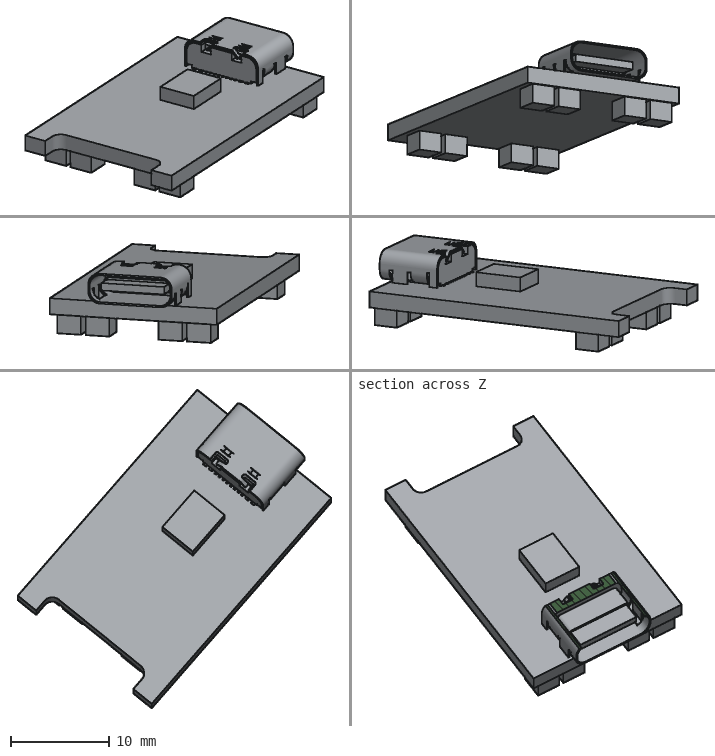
import cadquery as cq
import math


BOARD_WIDTH = 17.8
BOARD_LENGTH = 28.43
BOARD_THICKNESS = 1.68
FOOT_HEIGHT = 1.98
BOARD_TOP = FOOT_HEIGHT + BOARD_THICKNESS

PRONG_WIDTH = 2.45
NOTCH_WIDTH = BOARD_WIDTH - 2 * PRONG_WIDTH
NOTCH_DEPTH = 2.35
NOTCH_RADIUS = 1.0

FOOT_SIZE = 2.55
FOOT_PITCH = 3.05
FOOT_SIDE_MARGIN = 0.7
FOOT_FRONT_MARGIN = 2.7
FOOT_BACK_MARGIN = 0.25
OUTER_FOOT_X = BOARD_WIDTH / 2 - FOOT_SIDE_MARGIN - FOOT_SIZE / 2
FOOT_ROWS_Y = (
    FOOT_FRONT_MARGIN + FOOT_SIZE / 2,
    BOARD_LENGTH - FOOT_BACK_MARGIN - FOOT_SIZE / 2,
)

CHIP_WIDTH = 4.05
CHIP_LENGTH = 5.05
CHIP_HEIGHT = 1.48
CHIP_BACK_MARGIN = 8.68

MOUTH_OVERHANG = 1.1
MOUTH_Y = BOARD_LENGTH + MOUTH_OVERHANG
SHELL_WIDTH = 8.95
SHELL_HEIGHT = 3.13
SHELL_LENGTH = 6.55
SHELL_RADIUS = 1.27
SHEET = 0.18
SHELL_TOP = BOARD_TOP + SHELL_HEIGHT
SHELL_MID_Z = BOARD_TOP + SHELL_HEIGHT / 2

CORNER_CUT_WIDTH = 0.9
SLOT_WIDTH = 0.38
LEG_CUT_START = 1.1
LEG_LENGTH = 1.68
LEG_CUT_END = LEG_CUT_START + LEG_LENGTH + 2 * SLOT_WIDTH
REAR_SLOT_WIDTH = 0.3
REAR_SLOT_HEIGHT = 1.48
REAR_SLOT_RADIUS = 0.12
REAR_WALL_LENGTH = 0.9
REAR_CUT_START = SHELL_LENGTH - REAR_WALL_LENGTH - REAR_SLOT_WIDTH

WINDOW_INNER_X = 1.15
WINDOW_OUTER_X = 2.42
WINDOW_REAR = 1.48
WINDOW_LENGTH = 0.5
WINDOW_LIP_RADIUS = 0.3
LATCH_INNER_X = 1.03
LATCH_OUTER_X = 2.63
LATCH_LENGTH = 1.1
LATCH_RADIUS = 0.2
LIP_SETBACK = 0.12

TAB_ANGLE = 45
TAB_FLAT = 0.2
TAB_DROP = 0.7
TAB_BEND_RADIUS = 0.45
TAB_REAR = 0.15
TAB_LENGTH = 0.5

PLUG_START = 5.15
PLUG_GAP = 0.1
PLUG_TOP_RADIUS = 1.05
PLUG_NOTCH_HEIGHT = 0.3
POCKET_INNER_X = 1.27
POCKET_OUTER_X = 2.42
POCKET_LENGTH = 0.68
POCKET_BEVEL = 0.2
POCKET_FLOOR = 2.07

TONGUE_START = 0.95
TONGUE_WIDTH = 6.7
TONGUE_THICKNESS = 0.77
BASE_START = 2.83
BASE_WIDTH = 7.38
BASE_THICKNESS = 1.25

PIN_PITCH = 0.5
INNER_PIN_COUNT = 8
INNER_PIN_WIDTH = 0.2
OUTER_PIN_WIDTH = 0.4
OUTER_PIN_X = (2.42, 3.2)
PIN_LENGTH = 0.6
PIN_PROTRUSION = 0.2
PIN_HEIGHT = 0.045

SIDES = (-1, 1)


def block(x0, x1, y0, y1, z0, z1):
    """Box between two opposite corners, given in any order."""
    return (
        cq.Workplane("XY")
        .box(abs(x1 - x0), abs(y1 - y0), abs(z1 - z0))
        .translate(((x0 + x1) / 2, (y0 + y1) / 2, (z0 + z1) / 2))
    )


def section_plane(start):
    """XZ workplane at a distance behind the mouth; extruding goes rearward."""
    return cq.Workplane("XZ", origin=(0, MOUTH_Y - start, SHELL_MID_Z))


def rounded_bar(width, height, radius, start, end):
    """Bar along Y with rounded corners, between two distances behind the mouth."""
    return section_plane(start).rect(width, height).extrude(end - start).edges("|Y").fillet(radius)


def make_board():
    board = block(-BOARD_WIDTH / 2, BOARD_WIDTH / 2, 0, BOARD_LENGTH, FOOT_HEIGHT, BOARD_TOP)
    notch = block(-NOTCH_WIDTH / 2, NOTCH_WIDTH / 2, 0, NOTCH_DEPTH, FOOT_HEIGHT, BOARD_TOP)
    board = board.cut(notch.edges("|Z and >Y").fillet(NOTCH_RADIUS))

    foot_columns_x = [side * x for side in SIDES for x in (OUTER_FOOT_X, OUTER_FOOT_X - FOOT_PITCH)]
    foot_centers = [(x, y) for x in foot_columns_x for y in FOOT_ROWS_Y]
    feet = cq.Workplane("XY").pushPoints(foot_centers).rect(FOOT_SIZE, FOOT_SIZE).extrude(FOOT_HEIGHT)

    chip_back = BOARD_LENGTH - CHIP_BACK_MARGIN
    chip = block(
        -CHIP_WIDTH / 2, CHIP_WIDTH / 2, chip_back - CHIP_LENGTH, chip_back,
        BOARD_TOP, BOARD_TOP + CHIP_HEIGHT,
    )
    return board.union(feet).union(chip)


def outer_bar(start, end):
    return rounded_bar(SHELL_WIDTH, SHELL_HEIGHT, SHELL_RADIUS, start, end)


def make_tube():
    bore = rounded_bar(
        SHELL_WIDTH - 2 * SHEET, SHELL_HEIGHT - 2 * SHEET, SHELL_RADIUS - SHEET, 0, SHELL_LENGTH
    )
    return outer_bar(0, SHELL_LENGTH).cut(bore)


def side_block(side, depth, start, end, height):
    """Block reaching inward from one side of the shell, standing on the board."""
    outer_x = side * SHELL_WIDTH / 2
    inner_x = side * (SHELL_WIDTH / 2 - depth)
    return block(inner_x, outer_x, MOUTH_Y - end, MOUTH_Y - start, BOARD_TOP, BOARD_TOP + height)


def add_side_legs(shell):
    """Replace stretches of the curved lower corners by straight legs beside slots."""
    leg_start = LEG_CUT_START + SLOT_WIDTH
    rear_wall_start = SHELL_LENGTH - REAR_WALL_LENGTH
    for side in SIDES:
        for start, end in ((LEG_CUT_START, LEG_CUT_END), (REAR_CUT_START, SHELL_LENGTH)):
            shell = shell.cut(side_block(side, CORNER_CUT_WIDTH, start, end, SHELL_RADIUS))
        rear_slot = side_block(side, SHEET, REAR_CUT_START, rear_wall_start, REAR_SLOT_HEIGHT)
        shell = shell.cut(rear_slot.edges("|X and >Z").fillet(REAR_SLOT_RADIUS))
        shell = shell.union(side_block(side, SHEET, leg_start, leg_start + LEG_LENGTH, SHELL_RADIUS))
        shell = shell.union(side_block(side, SHEET, rear_wall_start, SHELL_LENGTH, SHELL_RADIUS))
    return shell


def cut_top_openings(shell):
    """Windows, latch openings and the set-back lip between the latches."""
    rear_y = MOUTH_Y - SHELL_LENGTH
    sheet_bottom = SHELL_TOP - SHEET
    window_y = rear_y + WINDOW_REAR
    for side in SIDES:
        window = block(
            side * WINDOW_INNER_X, side * WINDOW_OUTER_X, window_y, window_y + WINDOW_LENGTH,
            sheet_bottom, SHELL_TOP,
        )
        latch = block(
            side * LATCH_INNER_X, side * LATCH_OUTER_X, rear_y, rear_y + LATCH_LENGTH, sheet_bottom, SHELL_TOP
        )
        shell = shell.cut(window).cut(latch.edges("|Z and >Y").fillet(LATCH_RADIUS))
    lip_gap = block(-LATCH_INNER_X, LATCH_INNER_X, rear_y, rear_y + LIP_SETBACK, sheet_bottom, SHELL_TOP)
    return shell.cut(lip_gap)


def make_bent_tab(side):
    top = SHELL_HEIGHT / 2
    bend_x = LATCH_INNER_X + TAB_FLAT
    inner_bend_x = bend_x - SHEET * math.tan(math.radians(TAB_ANGLE / 2))
    end_step = SHEET * math.sin(math.radians(TAB_ANGLE))
    tip_x = bend_x + TAB_DROP / math.tan(math.radians(TAB_ANGLE))
    tip_z = top - TAB_DROP
    outline = [
        (LATCH_INNER_X, top),
        (bend_x, top),
        (tip_x, tip_z),
        (tip_x - end_step, tip_z - SHEET * math.cos(math.radians(TAB_ANGLE))),
        (inner_bend_x, top - SHEET),
        (LATCH_INNER_X, top - SHEET),
    ]
    start = SHELL_LENGTH - TAB_REAR - TAB_LENGTH
    tab = section_plane(start).polyline([(side * x, z) for x, z in outline]).close().extrude(TAB_LENGTH)
    middle_y = MOUTH_Y - start - TAB_LENGTH / 2
    outer_bend = cq.selectors.NearestToPointSelector((side * bend_x, middle_y, SHELL_TOP))
    inner_bend = cq.selectors.NearestToPointSelector((side * inner_bend_x, middle_y, SHELL_TOP - SHEET))
    tab = tab.edges(outer_bend).fillet(TAB_BEND_RADIUS)
    return tab.edges(inner_bend).fillet(TAB_BEND_RADIUS - SHEET)


def make_window_lip(edge_x, direction):
    """Strip that curls down a quarter turn from one end of a window."""
    top = SHELL_HEIGHT / 2
    center_z = top - WINDOW_LIP_RADIUS
    inner_radius = WINDOW_LIP_RADIUS - SHEET
    diagonal = math.sqrt(0.5)

    def at_diagonal(radius):
        return (edge_x + direction * radius * diagonal, center_z + radius * diagonal)

    start = SHELL_LENGTH - WINDOW_REAR - WINDOW_LENGTH
    return (
        section_plane(start)
        .moveTo(edge_x, top)
        .threePointArc(at_diagonal(WINDOW_LIP_RADIUS), (edge_x + direction * WINDOW_LIP_RADIUS, center_z))
        .lineTo(edge_x + direction * inner_radius, center_z)
        .threePointArc(at_diagonal(inner_radius), (edge_x, top - SHEET))
        .close()
        .extrude(WINDOW_LENGTH)
    )


def make_plug():
    """Insulator block that closes the rear of the shell."""
    half_width = SHELL_WIDTH / 2 - SHEET - PLUG_GAP
    top = SHELL_HEIGHT - SHEET - PLUG_GAP
    plug = block(
        -half_width, half_width, MOUTH_Y - SHELL_LENGTH, MOUTH_Y - PLUG_START, BOARD_TOP, BOARD_TOP + top
    )
    plug = plug.edges("|Y and >Z").fillet(PLUG_TOP_RADIUS)
    for side in SIDES:
        plug = plug.cut(side_block(side, CORNER_CUT_WIDTH, PLUG_START, SHELL_LENGTH, PLUG_NOTCH_HEIGHT))
    front_part = plug.intersect(outer_bar(PLUG_START, REAR_CUT_START))
    rear_part = plug.intersect(
        block(-half_width, half_width, MOUTH_Y - SHELL_LENGTH, MOUTH_Y - REAR_CUT_START, BOARD_TOP, SHELL_TOP)
    )
    plug = front_part.union(rear_part)

    rear_y = MOUTH_Y - SHELL_LENGTH
    for side in SIDES:
        pocket = block(
            side * POCKET_INNER_X, side * POCKET_OUTER_X, rear_y, rear_y + POCKET_LENGTH,
            BOARD_TOP + POCKET_FLOOR, SHELL_TOP,
        )
        plug = plug.cut(pocket)
        bevel_edge = cq.selectors.NearestToPointSelector(
            (side * (POCKET_INNER_X + POCKET_OUTER_X) / 2, rear_y + POCKET_LENGTH, BOARD_TOP + top)
        )
        plug = plug.edges(bevel_edge).chamfer(POCKET_BEVEL)
    return plug


def make_tongue():
    """Contact tongue with a thicker, round-sided base in front of the plug."""
    tongue_length = PLUG_START - TONGUE_START
    tongue = section_plane(TONGUE_START).rect(TONGUE_WIDTH, TONGUE_THICKNESS).extrude(tongue_length)
    base = section_plane(BASE_START).slot2D(BASE_WIDTH, BASE_THICKNESS).extrude(PLUG_START - BASE_START)
    return tongue.union(base)


def make_pin(x, width):
    tip_y = MOUTH_Y - SHELL_LENGTH - PIN_PROTRUSION
    return block(x - width / 2, x + width / 2, tip_y, tip_y + PIN_LENGTH, BOARD_TOP, BOARD_TOP + PIN_HEIGHT)


def make_connector():
    connector = cut_top_openings(add_side_legs(make_tube()))
    connector = connector.union(make_plug()).union(make_tongue())
    for side in SIDES:
        connector = connector.union(make_bent_tab(side))
        connector = connector.union(make_window_lip(side * WINDOW_INNER_X, side))
        connector = connector.union(make_window_lip(side * WINDOW_OUTER_X, -side))
        for x in OUTER_PIN_X:
            connector = connector.union(make_pin(side * x, OUTER_PIN_WIDTH))
    for i in range(INNER_PIN_COUNT):
        x = (i - (INNER_PIN_COUNT - 1) / 2) * PIN_PITCH
        connector = connector.union(make_pin(x, INNER_PIN_WIDTH))
    return connector


board = make_board()
connector = make_connector()
result = cq.Compound.makeCompound([*board.solids().vals(), *connector.solids().vals()])